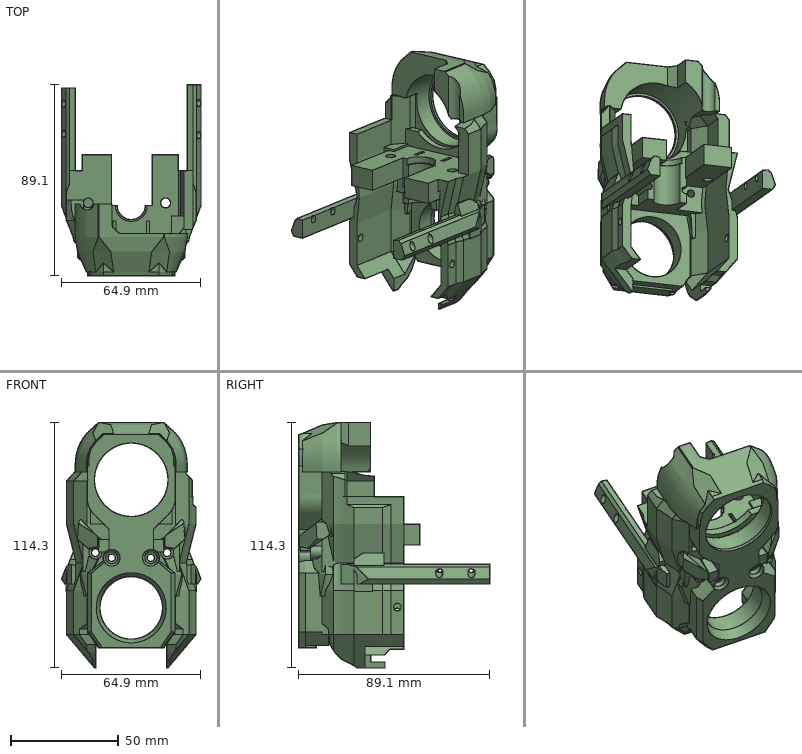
import cadquery as cq
import math

OVERLAP = 0.2
FAR = 200.0

LOWER_BORE_R = 14.5
LOWER_MOUTH_R = 16.3
LOWER_MOUTH_DEPTH = 5.0
UPPER_BORE_Z = 59.6
UPPER_BORE_R = 17.05
UPPER_CAVITY_R = 18.2
UPPER_LIP_DEPTH = 1.5

BODY_HALF_W = 20.3
BODY_DEPTH = 14.0
BODY_BOTTOM = -17.6
PLATE_BOTTOM = -18.6
PLATE_FOOT_DEPTH = 8.3
PLATE_FOOT_HALF_W = 12.5
FOOT_CORNER = 5.0
FOOT_CORNER_Z = -11.3
SHOULDER_CORNER_Z = 16.2
SHOULDER_INNER_X = 12.5
FACE_SHOULDER_Z = 21.3
BODY_SHOULDER_Z = 22.3
PLATE_BEVEL = 1.8
PLATE_BEVEL_DEPTH = 3.2
NECK_HALF_W = 10.3
NECK_DEPTH = 11.0
PLATE_TOP = 81.2
PLATE_STEP_DEPTH = 1.8
PLATE_CORNER_DEPTH = 6.0
FRONT_EDGE_BREAK = 0.6

HOOD_TOP = 86.3
HOOD_BOTTOM = 63.3
HOOD_HALF_W = 26.1
HOOD_FULL_Y = 18.0
HOOD_MID_Y = 11.2
HOOD_LEFT_END = 33.5
HOOD_RIGHT_END = 19.7
HOOD_LEFT_INNER_X = -9.0
HOOD_STEP_CHAMFER = 3.5

WALL_X = -30.2
WALL_END = 49.0
WALL_UPPER_END = 35.3
WALL_INNER_X = -24.5
WALL_FRONT_Y = 10.8
FLAP_TIP_Z = -28.04
FLAP_BEND_Z = -12.4
FLAP_INNER_X = -16.5
FLAP_SHIFT = 13.2
RIGHT_FLAP_END = 31.0
RIGHT_FLAP_NOTCH_TOP = -18.0
WAIST_LOW_Z = 8.0
WAIST_Z = 20.8
WAIST_SHIFT = 4.6
WAIST_INNER_SHIFT = 1.5
WALL_BEND_Z = 39.0
WALL_SHOULDER_Z = 59.0
SHOULDER_SHIFT = -WALL_X - HOOD_HALF_W
RIGHT_WALL_X = 28.8
SIDE_SHOULDER_X = 25.5
SIDE_SHOULDER_Z = 62.5
RIGHT_STEP_LOW_Z = 46.8
RIGHT_STEP_HIGH_Z = 48.0
RIGHT_TALL_TOP = 51.8
RIGHT_FRONT_END = 21.7
WALL_HOLE_D = 3.5
WALL_HOLE_Y = 46.0
LEFT_WALL_HOLE_Z = -2.0
RIGHT_WALL_HOLE_Z = 0.4
WALL_TOE_Z = -7.2

ARM_OUTER_X = 32.47
ARM_INNER_X = 26.0
ARM_BOTTOM = 11.0
ARM_TOP = 20.3
ARM_ROOT_Y = 25.7
ARM_OUTER_Y = 32.5
LEFT_ARM_END = 87.5
RIGHT_ARM_END = 89.07
PAD_BOTTOM = 7.6
PAD_TOP = 25.5
PAD_END = 39.7
ARM_HOLE_D = 3.3
ARM_HOLE_Z = 16.1
LEFT_ARM_HOLES_Y = (80.2, 66.2)
RIGHT_ARM_HOLES_Y = (80.5, 65.5)

BRIDGE_HALF_W = 22.5
BRIDGE_END = 21.0
WEB_HALF_W = 22.0
WEB_START = 13.5
WEB_END = 17.0
WEB_TOP = 47.0
BLOCK_BOTTOM = 29.2
BLOCK_START = 20.0
LEFT_BLOCK_X = (-22.9, -9.1)
RIGHT_BLOCK_X = (9.7, 21.9)
LINK_BOTTOM = 33.2
RIGHT_LINK_X = (18.7, 25.0)
RIGHT_LINK_Y = (15.0, 28.0)
BLOCK_END = 56.5
CRADLE_HALF_W = 9.7
CRADLE_END = 32.8
CRADLE_BOTTOM = 17.0
CRADLE_R = 6.5
CRADLE_RIM_R = 7.4
CRADLE_RIM_DEPTH = 3.0
CRADLE_SLOT_INNER_X = 7.0
CRADLE_SLOT_OUTER_X = 8.5
CRADLE_SLOT_END = 25.5
CRADLE_SLOT_DEPTH = 8.0
VERTICAL_HOLE_D = 4.5
VERTICAL_HOLE_Y = 34.0
LEFT_VERTICAL_HOLE_X = -20.0
RIGHT_VERTICAL_HOLE_X = 16.0
ACCESS_D = 6.5
ACCESS_X = -20.6
OUTER_SCREW = (-16.7, 25.7)
INNER_SCREW = (-9.1, 23.3)
SCREW_D = 3.5
INNER_SCREW_D = 3.3
BOSS_D = 6.0
BOSS_FACE_Y = 5.5
BOSS_END_Y = 12.0
SINK_D = 5.6
SINK_DEPTH = 4.0
SINK_RIM_DEPTH = 1.5
SINK_RIM_D = 8.0


def box(x0, x1, y0, y1, z0, z1):
    return cq.Workplane("XY").box(x1 - x0, y1 - y0, z1 - z0, centered=False).translate((x0, y0, z0))


def along_y(points, y0, y1):
    """Prism with an XZ outline, running from y0 to y1."""
    return cq.Workplane("XZ", origin=(0, y0, 0)).polyline(points).close().extrude(y0 - y1)


def along_x(points, x0, x1):
    """Prism with a YZ outline, running from x0 to x1."""
    return cq.Workplane("YZ", origin=(x0, 0, 0)).polyline(points).close().extrude(x1 - x0)


def rod_y(x, z, diameter, y0, y1):
    return cq.Workplane("XZ", origin=(x, y0, z)).circle(diameter / 2).extrude(y0 - y1)


def rod_z(x, y, diameter, z0, z1):
    return cq.Workplane("XY", origin=(x, y, z0)).circle(diameter / 2).extrude(z1 - z0)


def cone_y(x, z, d0, d1, y0, y1):
    front = cq.Wire.makeCircle(d0 / 2, cq.Vector(x, y0, z), cq.Vector(0, 1, 0))
    back = cq.Wire.makeCircle(d1 / 2, cq.Vector(x, y1, z), cq.Vector(0, 1, 0))
    return cq.Workplane(obj=cq.Solid.makeLoft([front, back], True))


def flip(shape):
    """Mirror image on the other side of the YZ plane."""
    return shape.mirror("YZ")


def both(shape):
    return shape.union(flip(shape))


def symmetric(right_half):
    """Close a right-hand outline with its mirror image."""
    return right_half + [(-x, z) for x, z in reversed(right_half)]


def ruled(sections):
    """Ruled solid through closed 3D polygons with equal point counts."""
    wires = [cq.Wire.makePolygon([cq.Vector(*p) for p in s], close=True) for s in sections]
    return cq.Workplane(obj=cq.Solid.makeLoft(wires, True))


def lower_outline(half_w, bottom, top_corner_z):
    return symmetric([
        (half_w - FOOT_CORNER, bottom),
        (half_w, FOOT_CORNER_Z),
        (half_w, SHOULDER_CORNER_Z),
        (SHOULDER_INNER_X, top_corner_z),
    ])


def make_lower_body():
    face = lower_outline(BODY_HALF_W - PLATE_BEVEL, PLATE_BOTTOM, FACE_SHOULDER_Z)
    rear = lower_outline(BODY_HALF_W, PLATE_BOTTOM, BODY_SHOULDER_Z)
    bevel = ruled([[(x, 0, z) for x, z in face], [(x, PLATE_BEVEL_DEPTH, z) for x, z in rear]])
    body = along_y(lower_outline(BODY_HALF_W, BODY_BOTTOM, BODY_SHOULDER_Z), PLATE_BEVEL_DEPTH, BODY_DEPTH)
    foot = box(
        -PLATE_FOOT_HALF_W,
        PLATE_FOOT_HALF_W,
        PLATE_BEVEL_DEPTH,
        PLATE_FOOT_DEPTH,
        PLATE_BOTTOM,
        BODY_BOTTOM + OVERLAP,
    )
    return bevel.union(body).union(foot)


def make_neck():
    plate = (
        cq.Workplane("XZ")
        .moveTo(NECK_HALF_W, 18)
        .lineTo(NECK_HALF_W, 36.5)
        .lineTo(18.0, 44.2)
        .threePointArc((19.8, 47.3), (BODY_HALF_W, 52.5))
        .lineTo(BODY_HALF_W, 66.0)
        .lineTo(-BODY_HALF_W, 66.0)
        .lineTo(-BODY_HALF_W, 52.5)
        .threePointArc((-19.8, 47.3), (-18.0, 44.2))
        .lineTo(-NECK_HALF_W, 36.5)
        .lineTo(-NECK_HALF_W, 18)
        .close()
        .extrude(-NECK_DEPTH)
    )
    pillow = box(-15.2, -NECK_HALF_W + OVERLAP, 1.0, NECK_DEPTH + 1, 26.0, 31.8)
    return plate.union(both(pillow))


def hood_section(y, half_w, top, flat_half, corner, flank_top):
    """Closed hood outline at depth y; each flank is an arc between its vertical side and its corner."""
    flank_bottom_z = 67.0
    x_top, z_top = flank_top
    angle = math.acos(x_top / half_w)
    rise = (z_top - flank_bottom_z) / math.sin(angle)
    flank_middle = (half_w * math.cos(angle / 2), flank_bottom_z + rise * math.sin(angle / 2))

    def point(p, side):
        return cq.Vector(side * p[0], y, p[1])

    foot = (half_w, HOOD_BOTTOM)
    flank_bottom = (half_w, flank_bottom_z)
    crown = (flat_half, top)
    edges = []
    for side in (1, -1):
        arc_start = point(flank_bottom, side)
        arc_end = point(flank_top, side)
        edges.append(cq.Edge.makeLine(point(foot, side), arc_start))
        edges.append(cq.Edge.makeThreePointArc(arc_start, point(flank_middle, side), arc_end))
        edges.append(cq.Edge.makeLine(arc_end, point(corner, side)))
        edges.append(cq.Edge.makeLine(point(corner, side), point(crown, side)))
    edges.append(cq.Edge.makeLine(point(crown, 1), point(crown, -1)))
    edges.append(cq.Edge.makeLine(point(foot, 1), point(foot, -1)))
    return cq.Wire.combine(edges)[0]


def plate_cap_outline(inset):
    """Top of the front plate: vertical sides, rounded shoulders and cut corners."""
    return symmetric([
        (BODY_HALF_W - inset, HOOD_BOTTOM),
        (BODY_HALF_W - inset, 70.0),
        (19.3 - inset, 74.0),
        (16.7 - inset, 77.5),
        (13.0 - inset / 2, PLATE_TOP - inset),
    ])


def make_plate_cap():
    face = [(x, 0, z) for x, z in plate_cap_outline(FRONT_EDGE_BREAK)]
    rim = [(x, PLATE_STEP_DEPTH, z) for x, z in plate_cap_outline(0)]
    return ruled([face, rim]).union(along_y(plate_cap_outline(0), PLATE_STEP_DEPTH, PLATE_CORNER_DEPTH))


def make_hood():
    full = (HOOD_HALF_W, HOOD_TOP, 14.9, (15.4, 86.1), (20.7, 81.2))
    middle = (25.0, 85.2, 9.5, (17.8, 81.4), (18.9, 80.2))
    front = (BODY_HALF_W + FRONT_EDGE_BREAK, PLATE_TOP, 8.2, (16.5, 77.7), (17.0, 77.1))
    wires = [
        hood_section(PLATE_STEP_DEPTH, *front),
        hood_section(HOOD_MID_Y, *middle),
        hood_section(HOOD_FULL_Y, *full),
        hood_section(HOOD_LEFT_END, *full),
    ]
    hood = cq.Workplane(obj=cq.Solid.makeLoft(wires, True))
    x = HOOD_LEFT_INNER_X
    chamfer_end = x + HOOD_STEP_CHAMFER
    cutaway = [
        (x, FAR),
        (x, HOOD_RIGHT_END + HOOD_STEP_CHAMFER),
        (chamfer_end, HOOD_RIGHT_END),
        (FAR, HOOD_RIGHT_END),
        (FAR, FAR),
    ]
    hood = hood.cut(cq.Workplane("XY").polyline(cutaway).close().extrude(FAR))
    return hood.cut(rod_z(ACCESS_X, VERTICAL_HOLE_Y, ACCESS_D, HOOD_BOTTOM, FAR))


def wall_plan(end):
    outer = [
        (-19.0, WALL_FRONT_Y),
        (-20.5, WALL_FRONT_Y),
        (-26.8, 16.2),
        (-27.1, 18.0),
        (-28.1, 21.0),
        (WALL_X, 25.7),
    ]
    if end > WALL_UPPER_END:
        outer += [(WALL_X, 39.0), (-28.8, 43.0), (-28.8, end)]
    elif end > 25.7:
        outer += [(WALL_X, end)]
    else:
        outer = outer[:-1] + [(-28.4, end)]
    return outer + [(WALL_INNER_X, end), (WALL_INNER_X, 22.5), (-19.0, 15.2)]


def wall_section(z, shift, inner_shift, end):
    """Wall outline at height z; the three inner points can shift less than the outer ones."""
    plan = wall_plan(end)
    outer = [(x + shift, y, z) for x, y in plan[:-3]]
    return outer + [(x + inner_shift, y, z) for x, y in plan[-3:]]


def wall_stage(z0, shift0, z1, shift1, end):
    return ruled([wall_section(z0, shift0, shift0, end), wall_section(z1, shift1, shift1, end)])


def make_flap():
    flap = wall_stage(FLAP_TIP_Z, FLAP_SHIFT, FLAP_BEND_Z, 0, WALL_END)
    side = [
        (14.0, FLAP_BEND_Z),
        (14.5, -17.0),
        (17.0, -21.0),
        (20.0, -24.0),
        (25.0, -26.5),
        (27.5, FLAP_TIP_Z),
        (40.3, FLAP_TIP_Z),
        (40.3, -25.2),
        (33.6, -25.2),
        (33.6, -22.0),
        (40.0, -22.0),
        (42.5, -19.3),
        (WALL_END, -19.3),
        (WALL_END, FLAP_BEND_Z),
    ]
    return flap.intersect(along_x(side, -FAR, FLAP_INNER_X))


def make_lower_wall():
    wall = wall_stage(FLAP_BEND_Z, 0, WAIST_LOW_Z, 0, WALL_END)
    below = wall_section(WAIST_LOW_Z, 0, 0, WALL_END)
    waist = wall_section(WAIST_Z, WAIST_SHIFT, WAIST_INNER_SHIFT, WALL_END)
    above = wall_section(WALL_BEND_Z, 0, 0, WALL_END)
    wall = wall.union(ruled([below, waist, above])).union(make_flap())
    toe = [(0, WALL_TOE_Z), (WALL_FRONT_Y, WALL_TOE_Z), (13.8, -9.8), (14.3, -18.0), (0, -18.0)]
    return wall.cut(along_x(toe, -FAR, -BODY_HALF_W))


def make_right_lower_wall():
    clearance = box(0, FAR, RIGHT_FLAP_END, FAR, -FAR, RIGHT_FLAP_NOTCH_TOP)
    return flip(make_lower_wall()).cut(clearance)


def make_left_upper_wall():
    wall = wall_stage(WALL_BEND_Z, 0, WALL_SHOULDER_Z, 0, WALL_UPPER_END)
    top = HOOD_BOTTOM + OVERLAP
    wall = wall.union(wall_stage(WALL_SHOULDER_Z, 0, top, SHOULDER_SHIFT, WALL_UPPER_END))
    scoop = [(25.0, HOOD_BOTTOM), (30.0, 61.8), (WALL_UPPER_END, 61.3), (WALL_UPPER_END, 70.0), (25.0, 70.0)]
    return wall.cut(along_x(scoop, -FAR, 0))


def make_right_upper_wall():
    wall = wall_stage(WALL_BEND_Z, 0, RIGHT_TALL_TOP, 0, WALL_END)
    top = HOOD_BOTTOM + OVERLAP
    wall = flip(wall.union(wall_stage(RIGHT_TALL_TOP, 0, top, 0, RIGHT_FRONT_END)))
    trim = [
        (-WALL_X, RIGHT_STEP_LOW_Z),
        (RIGHT_WALL_X, RIGHT_STEP_HIGH_Z),
        (RIGHT_WALL_X, WALL_SHOULDER_Z),
        (SIDE_SHOULDER_X, SIDE_SHOULDER_Z),
        (SIDE_SHOULDER_X, FAR),
        (FAR, FAR),
        (FAR, RIGHT_STEP_LOW_Z),
    ]
    return wall.cut(along_y(trim, 0, FAR))


def make_arm(end, holes_y):
    section = [
        (-ARM_INNER_X, ARM_BOTTOM),
        (-30.9, ARM_BOTTOM),
        (-ARM_OUTER_X, 13.4),
        (-30.3, 19.0),
        (-28.8, ARM_TOP),
        (-ARM_INNER_X, ARM_TOP - 0.5),
    ]
    arm = along_y(section, ARM_ROOT_Y - 6, end)
    taper = [
        (-ARM_OUTER_X - 1, ARM_OUTER_Y - 1),
        (-ARM_OUTER_X, ARM_OUTER_Y),
        (WALL_X + 0.4, ARM_ROOT_Y),
        (-27.2, 18.0),
        (-ARM_OUTER_X - 1, 18.0),
    ]
    arm = arm.cut(cq.Workplane("XY").polyline(taper).close().extrude(FAR))
    slope = math.degrees(math.atan2(ARM_OUTER_X - 30.3, 19.0 - 13.4))
    for y in holes_y:
        drill = cq.Workplane("YZ").circle(ARM_HOLE_D / 2).extrude(20, both=True)
        drill = drill.rotate((0, 0, 0), (0, 1, 0), -slope)
        arm = arm.cut(drill.translate((-31.4, y, ARM_HOLE_Z)))
    return arm


def make_arm_root():
    """Raised pad that carries the arm, above and below it, on the sloping wall."""
    section = [
        (-25.0, PAD_BOTTOM),
        (-30.4, PAD_BOTTOM),
        (-30.4, 15.0),
        (-29.3, ARM_TOP),
        (-27.3, PAD_TOP),
        (-23.5, PAD_TOP),
    ]
    pad = along_y(section, ARM_ROOT_Y, PAD_END)
    outline = [
        (ARM_ROOT_Y, PAD_BOTTOM),
        (34.3, PAD_BOTTOM),
        (34.3, ARM_BOTTOM),
        (PAD_END, ARM_BOTTOM),
        (PAD_END, PAD_TOP),
        (30.0, PAD_TOP),
        (ARM_ROOT_Y, 22.6),
    ]
    return pad.intersect(along_x(outline, -FAR, 0))


def make_middle():
    front = NECK_DEPTH - OVERLAP
    top = WALL_BEND_Z
    bridge = box(-BRIDGE_HALF_W, BRIDGE_HALF_W, front, BRIDGE_END, CRADLE_BOTTOM, top)
    web = box(-WEB_HALF_W, WEB_HALF_W, WEB_START, WEB_END, top - OVERLAP, WEB_TOP)
    cradle = box(-CRADLE_HALF_W, CRADLE_HALF_W, front, CRADLE_END, CRADLE_BOTTOM, top)
    left = box(*LEFT_BLOCK_X, BLOCK_START, BLOCK_END, BLOCK_BOTTOM, top)
    left_link = box(WALL_INNER_X, LEFT_BLOCK_X[0] + OVERLAP, BLOCK_START, WALL_END, LINK_BOTTOM, top)
    right = box(*RIGHT_BLOCK_X, BLOCK_START, BLOCK_END, BLOCK_BOTTOM, top)
    right_link = box(*RIGHT_LINK_X, *RIGHT_LINK_Y, LINK_BOTTOM, top + 1)
    middle = bridge.union(web).union(cradle).union(left).union(left_link).union(right).union(right_link)
    middle = middle.cut(rod_z(0, CRADLE_END, 2 * CRADLE_R, 0, FAR))
    rim_z = WALL_BEND_Z - CRADLE_RIM_DEPTH
    middle = middle.cut(rod_z(0, CRADLE_END, 2 * CRADLE_RIM_R, rim_z, FAR))
    slot_z = WALL_BEND_Z - CRADLE_SLOT_DEPTH
    slot = box(CRADLE_SLOT_INNER_X, CRADLE_SLOT_OUTER_X, HOOD_RIGHT_END, CRADLE_SLOT_END, slot_z, FAR)
    middle = middle.cut(both(slot))
    for x in (LEFT_VERTICAL_HOLE_X, RIGHT_VERTICAL_HOLE_X):
        middle = middle.cut(rod_z(x, VERTICAL_HOLE_Y, VERTICAL_HOLE_D, 0, FAR))
    return middle


def make_fin():
    """Swept-back ear beside the neck: the overlap of a side outline and a front outline."""
    side = [(0.4, 28.5), (0.4, 33.5), (10.5, 41.2), (13.0, 39.0), (14.5, 34.0), (5.0, 27.5)]
    front = [
        (-NECK_HALF_W, 26.0),
        (-NECK_HALF_W, 32.0),
        (-15.0, 32.5),
        (-19.0, 36.5),
        (-23.5, 41.2),
        (-24.5, 40.0),
        (-25.0, 32.0),
        (-20.0, 27.5),
        (-15.2, 27.0),
    ]
    depth_limit = [(-15.2, 0), (-25.5, 9.0), (-25.5, 16.0), (-14.0, 16.0)]
    fin = along_x(side, -FAR, 0).intersect(along_y(front, 0, 20))
    return fin.intersect(cq.Workplane("XY").polyline(depth_limit).close().extrude(FAR))


def make_cheek():
    """Faceted web running from the outer screw boss down to the wall."""
    top = [(-15.0, 6.0, 24.0), (-21.5, 12.5, 24.0), (-20.0, 18.0, 24.0), (-14.0, 18.0, 24.0)]
    middle = [(-19.0, 8.0, 15.5), (-23.5, 12.5, 15.5), (-24.0, 18.0, 15.5), (-18.0, 18.0, 15.5)]
    foot = [(-19.5, 9.5, 5.5), (-20.8, 10.2, 5.5), (-25.5, 17.0, 5.5), (-19.0, 17.0, 5.5)]
    return ruled([top, middle, foot])


def make_boss():
    x, z = OUTER_SCREW
    ix, iz = INNER_SCREW
    lug = rod_y(ix, iz, SINK_RIM_D, 0, BOSS_END_Y)
    return rod_y(x, z, BOSS_D, BOSS_FACE_Y, BOSS_END_Y).union(lug)


def make_bore_cut():
    cut = rod_y(0, 0, 2 * LOWER_BORE_R, -1, FAR)
    cut = cut.union(cone_y(0, 0, 2 * LOWER_MOUTH_R, 2 * LOWER_BORE_R, 0, LOWER_MOUTH_DEPTH))
    cut = cut.union(rod_y(0, UPPER_BORE_Z, 2 * UPPER_BORE_R, -1, FAR))
    return cut.union(rod_y(0, UPPER_BORE_Z, 2 * UPPER_CAVITY_R, UPPER_LIP_DEPTH, FAR))


def make_screw_cut():
    x, z = OUTER_SCREW
    ix, iz = INNER_SCREW
    cut = rod_y(x, z, SCREW_D, -1, FAR)
    cut = cut.union(rod_y(ix, iz, INNER_SCREW_D, -1, FAR))
    cut = cut.union(rod_y(ix, iz, SINK_D, -1, SINK_DEPTH))
    cut = cut.union(cone_y(ix, iz, SINK_RIM_D, SINK_D, -OVERLAP, SINK_RIM_DEPTH))
    return both(cut)


def make_wall_hole_cut():
    """Cross holes through the side walls near their rear ends, at different heights left and right."""
    left = cq.Workplane("YZ").center(WALL_HOLE_Y, LEFT_WALL_HOLE_Z).circle(WALL_HOLE_D / 2).extrude(-FAR)
    right = cq.Workplane("YZ").center(WALL_HOLE_Y, RIGHT_WALL_HOLE_Z).circle(WALL_HOLE_D / 2).extrude(FAR)
    return left.union(right)


result = make_lower_body()
for feature in (
    make_neck(),
    make_hood(),
    make_plate_cap(),
    make_lower_wall(),
    make_right_lower_wall(),
    make_left_upper_wall(),
    make_right_upper_wall(),
    make_arm(LEFT_ARM_END, LEFT_ARM_HOLES_Y),
    flip(make_arm(RIGHT_ARM_END, RIGHT_ARM_HOLES_Y)),
    both(make_arm_root()),
    make_middle(),
    both(make_fin()),
    both(make_cheek()),
    both(make_boss()),
):
    result = result.union(feature)
result = result.cut(make_bore_cut()).cut(make_screw_cut()).cut(make_wall_hole_cut())